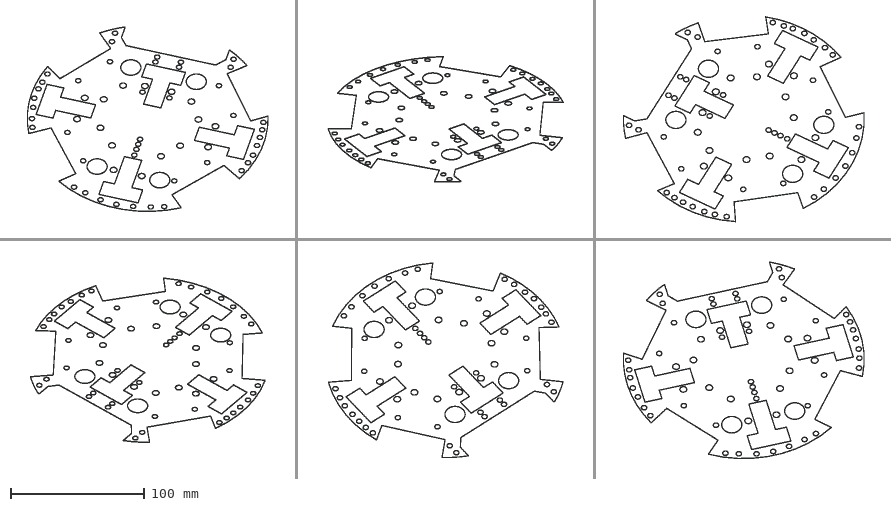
import cadquery as cq

disc_diameter = 180.8
plate_thickness = 0.42
disc_radius = disc_diameter / 2

top_flat_y = 80.5

small_hole = 4.0
medium_hole = 5.0
large_hole = 15.0

crossbar_width = 30.4
crossbar_depth = 13.0
stem_width = 13.4
side_crossbar_y = -3.8
side_stem_y = -4.5
slots = [
    (50.6, 12.5, 0, 0, 0),
    (81.5, 41.2, side_crossbar_y, side_stem_y, 90),
    (81.0, 40.5, 0, 0, 180),
    (79.9, 39.6, -side_crossbar_y, -side_stem_y, 270),
]

top_notch = [(41.0, 80.5), (41.0, 70.7), (35.0, 63.6), (-34.7, 63.6), (-40.1, 70.1), (-40.1, 81.0)]
upper_left_notch = [(-57.1, 70.1), (-45.0, 57.9), (-73.8, 19.3), (-85.9, 28.2)]
lower_left_notch = [(-81.9, -38.3), (-67.3, -28.5), (-37.5, -66.3), (-47.7, -76.8)]
upper_right_notch = [(57.9, 69.6), (45.7, 57.9), (75.0, 18.5), (86.5, 26.5)]
lower_right_notch = [(82.3, -38.0), (67.5, -28.5), (37.6, -66.5), (47.7, -76.8)]
notches = [top_notch, upper_left_notch, lower_left_notch, upper_right_notch, lower_right_notch]

notch_overrun = 2.5

rim_holes = [
    (-46.0, 73.0), (-46.0, 64.5), (46.5, 72.7), (46.5, 64.5),
    (-84.0, 21.2), (-85.5, 12.5), (-86.6, 5.5), (-87.1, -4.2),
    (-85.5, -13.0), (-83.5, -23.7), (-80.8, -31.8),
    (84.6, 19.7), (85.7, 12.5), (86.0, 4.9), (86.0, -3.3),
    (85.7, -13.0), (84.0, -21.2), (81.5, -29.8),
    (-35.0, -79.2), (-25.5, -82.3), (-12.7, -85.7), (0.0, -86.8),
    (12.7, -85.3), (25.5, -82.3), (35.0, -79.2),
]

edge_holes = [
    (-42.1, 45.4), (-60.0, 21.2), (-54.2, -29.5), (-35.5, -52.8),
    (42.8, 45.0), (61.1, 20.0), (54.6, -29.3), (35.6, -53.2),
]

inner_small_holes = [
    (-9.2, 59.3), (9.2, 59.3), (-9.2, 54.2), (9.2, 54.2), (-10.7, 23.5), (10.3, 23.5),
    (0.0, -21.2), (0.0, -26.2), (0.0, -31.3), (0.0, -37.0),
]

stem_holes = [
    (-10.5, 29.6), (10.3, 29.6), (-50.8, 6.3), (-50.8, -15.0),
    (51.0, 6.3), (51.2, -14.6), (-11.0, -55.1), (10.8, -55.1),
]
ring_holes = [
    (-26.4, 25.7), (-36.7, 8.9), (-31.6, -18.5), (-18.6, -32.5),
    (27.1, 24.5), (36.9, 9.2), (30.5, -19.0), (19.5, -32.7),
]

large_holes = [(-25.5, 44.1), (25.5, 44.1), (-23.9, -55.3), (25.0, -55.3)]


def extend_from(corner, rim_point):
    """Carry the line from corner through rim_point on to a point beyond the rim."""
    return tuple(c + notch_overrun * (r - c) for c, r in zip(corner, rim_point))


def notch_cutter(points):
    """Prism through the plate that removes everything outside a notch outline."""
    start = extend_from(points[1], points[0])
    end = extend_from(points[-2], points[-1])
    outline = [start] + points[1:-1] + [end]
    return cq.Workplane("XY").polyline(outline).close().extrude(plate_thickness)


def slot_cutter(outer_end, inner_end, crossbar_offset, stem_offset, turn):
    """T-shaped prism with its crossbar outwards, turned about the Z axis."""
    crossbar = (
        cq.Workplane("XY")
        .center(crossbar_offset, outer_end - crossbar_depth / 2)
        .rect(crossbar_width, crossbar_depth)
        .extrude(plate_thickness)
    )
    stem = (
        cq.Workplane("XY")
        .center(stem_offset, (outer_end + inner_end) / 2)
        .rect(stem_width, outer_end - inner_end)
        .extrude(plate_thickness)
    )
    return crossbar.union(stem).rotate((0, 0, 0), (0, 0, 1), turn)


def hole_cutter(points, diameter):
    """Cylinders of one diameter through the plate."""
    return cq.Workplane("XY").pushPoints(points).circle(diameter / 2).extrude(plate_thickness)


result = cq.Workplane("XY").circle(disc_radius).extrude(plate_thickness)

top_trim = cq.Workplane("XY").box(
    disc_diameter, disc_radius, plate_thickness, centered=(True, False, False)
)
result = result.cut(top_trim.translate((0, top_flat_y, 0)))

for notch in notches:
    result = result.cut(notch_cutter(notch))

for slot in slots:
    result = result.cut(slot_cutter(*slot))

result = result.cut(hole_cutter(rim_holes + edge_holes + inner_small_holes, small_hole))
result = result.cut(hole_cutter(stem_holes + ring_holes, medium_hole))
result = result.cut(hole_cutter(large_holes, large_hole))